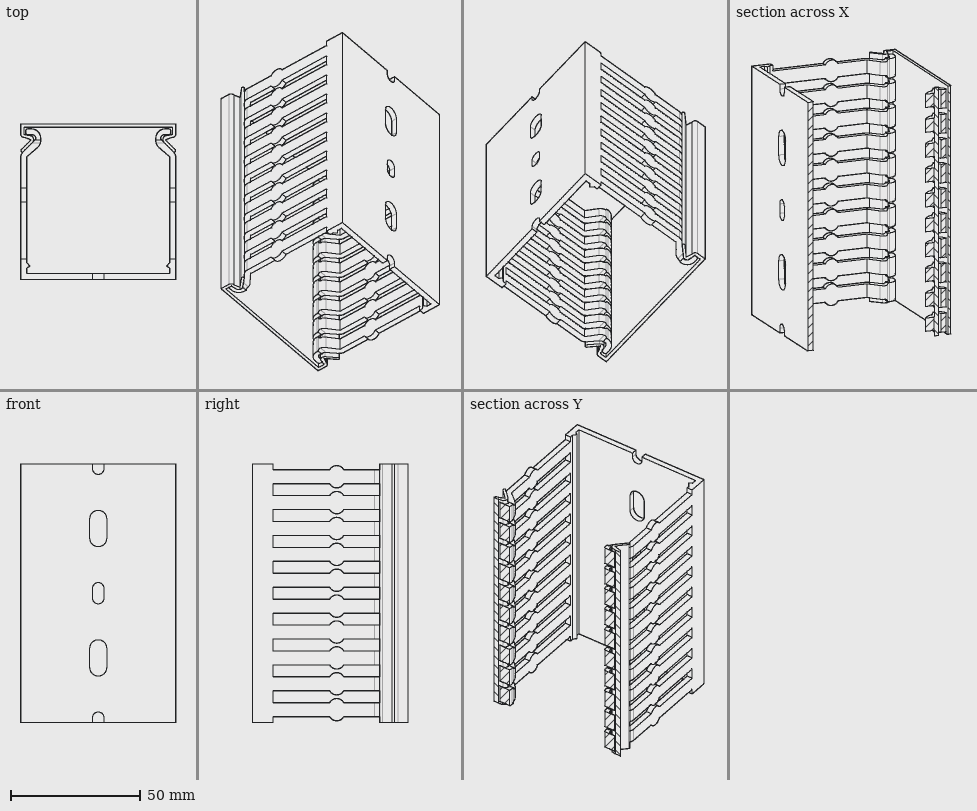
import cadquery as cq
import math

length = 100.0
half_width = 30.0
depth = 60.2

wall = 2.4
wall_bend_y = 47.4
bend_round = 2.9
hook_inner_x = 22.2
hook_outer_x = 24.2
hook_top_y = 58.3
hook_bottom_y = 55.9
hook_tip_x = 28.1
hook_corner_radius = 3.7
hook_inner_corner_radius = 1.2
hook_tip_radius = 1.0
incline_end_y = 52.1
incline_end_radius = 3.5

barb_bottom_y = 4.4
barb_tip_y = 5.2
barb_top_y = 6.6
barb_height = 1.2

finger_pitch = 10.0
finger_width = 5.5
opening_start_y = 8.0
opening_fillet_y = 52.8
opening_fillet = 1.1
bump_y = 32.6
bump_half_length = 2.7
bump_height = 1.6

large_slot_width = 6.6
large_slot_length = 14.0
large_slot_heights = (length / 4, 3 * length / 4)
small_slot_width = 4.4
small_slot_length = 8.2
small_slot_heights = (0, length / 2, length)

cover_thickness = 1.4
cover_inner_x = half_width - cover_thickness
cover_corner_y = 56.3
lip_start = (-28.4, 54.9)
lip_bend_x = -26.0
lip_top_start_y = 56.1
nose_start_x = -25.4
nose_end = (-25.9, 55.6)
flap_thickness = 1.1
flap_end_outer_x = -29.7
flap_end_middle = (-29.9, 49.7)
flap_end_inner_x = -29.2

wall_inner_x = half_width - wall
bend_outer_y = wall_bend_y + wall * math.tan(math.pi / 8)
bend_tangent = bend_round * math.tan(math.pi / 8)
diagonal = math.cos(math.pi / 4)


def slope_y(x):
    """Y of the outer face of the inclined wall at the given X."""
    return bend_outer_y + half_width + x


def both_sides(left_half):
    """Complete a left half profile by mirroring it about the mid-plane."""
    return left_half.union(left_half.mirror("YZ")).clean()


def base_profile():
    """Solid of the base before any openings are cut."""
    half = (
        cq.Workplane("XY")
        .moveTo(0, 0)
        .lineTo(-half_width, 0)
        .lineTo(-half_width, bend_outer_y - bend_tangent)
        .tangentArcPoint(
            (-half_width + bend_tangent * diagonal, bend_outer_y + bend_tangent * diagonal), relative=False
        )
        .lineTo(-hook_outer_x, slope_y(-hook_outer_x))
        .lineTo(-hook_outer_x, hook_bottom_y - hook_inner_corner_radius)
        .tangentArcPoint((-hook_outer_x - hook_inner_corner_radius, hook_bottom_y), relative=False)
        .lineTo(-hook_tip_x + hook_tip_radius, hook_bottom_y)
        .tangentArcPoint((-hook_tip_x, hook_bottom_y + hook_tip_radius), relative=False)
        .lineTo(-hook_tip_x, hook_top_y - hook_tip_radius)
        .tangentArcPoint((-hook_tip_x + hook_tip_radius, hook_top_y), relative=False)
        .lineTo(-hook_inner_x - hook_corner_radius, hook_top_y)
        .tangentArcPoint((-hook_inner_x, hook_top_y - hook_corner_radius), relative=False)
        .lineTo(-hook_inner_x, incline_end_y)
        .lineTo(-wall_inner_x, wall_bend_y)
        .lineTo(-wall_inner_x, barb_top_y)
        .lineTo(-wall_inner_x + barb_height, barb_tip_y)
        .lineTo(-wall_inner_x, barb_bottom_y)
        .lineTo(-wall_inner_x, wall)
        .lineTo(0, wall)
        .close()
        .extrude(length)
    )
    incline_edge = cq.selectors.NearestToPointSelector((-hook_inner_x, incline_end_y, length / 2))
    return both_sides(half.edges(incline_edge).fillet(incline_end_radius))


def finger_opening(z):
    """Cutter through both side walls for one gap between fingers, centred at height z."""
    half_gap = (finger_pitch - finger_width) / 2
    hook_half_gap = half_gap - opening_fillet
    fillet_end_y = opening_fillet_y + opening_fillet
    half = (
        cq.Workplane("YZ")
        .moveTo(opening_start_y, 0)
        .lineTo(opening_start_y, half_gap)
        .lineTo(bump_y - bump_half_length, half_gap)
        .threePointArc((bump_y, half_gap - bump_height), (bump_y + bump_half_length, half_gap))
        .lineTo(opening_fillet_y, half_gap)
        .tangentArcPoint((fillet_end_y, hook_half_gap), relative=False)
        .lineTo(depth, hook_half_gap)
        .lineTo(depth, 0)
        .close()
        .extrude(half_width, both=True)
    )
    return half.union(half.mirror("XY")).translate((0, 0, z))


def mounting_slot(slot_width, slot_length, z):
    """Cutter for an upright round-ended slot through the base."""
    return (
        cq.Workplane("XZ")
        .center(0, z)
        .slot2D(slot_length, slot_width, 90)
        .extrude(-wall)
    )


def make_base():
    base = base_profile()
    for i in range(round(length / finger_pitch) + 1):
        base = base.cut(finger_opening(i * finger_pitch))
    for z in large_slot_heights:
        base = base.cut(mounting_slot(large_slot_width, large_slot_length, z))
    for z in small_slot_heights:
        base = base.cut(mounting_slot(small_slot_width, small_slot_length, z))
    return base


def make_cover():
    panel_inner_y = depth - cover_thickness
    flap_rise = flap_thickness / diagonal
    half = (
        cq.Workplane("XY")
        .moveTo(0, depth)
        .lineTo(-half_width, depth)
        .lineTo(-half_width, cover_corner_y)
        .tangentArcPoint(lip_start, relative=False)
        .lineTo(lip_bend_x, slope_y(lip_bend_x) + flap_rise)
        .lineTo(flap_end_outer_x, slope_y(flap_end_outer_x) + flap_rise)
        .threePointArc(flap_end_middle, (flap_end_inner_x, slope_y(flap_end_inner_x)))
        .lineTo(nose_start_x, slope_y(nose_start_x))
        .tangentArcPoint(nose_end, relative=False)
        .lineTo(-cover_inner_x, lip_top_start_y)
        .lineTo(-cover_inner_x, panel_inner_y)
        .lineTo(0, panel_inner_y)
        .close()
        .extrude(length)
    )
    return both_sides(half)


base = make_base()
cover = make_cover()

result = cq.Compound.makeCompound([base.val(), cover.val()])